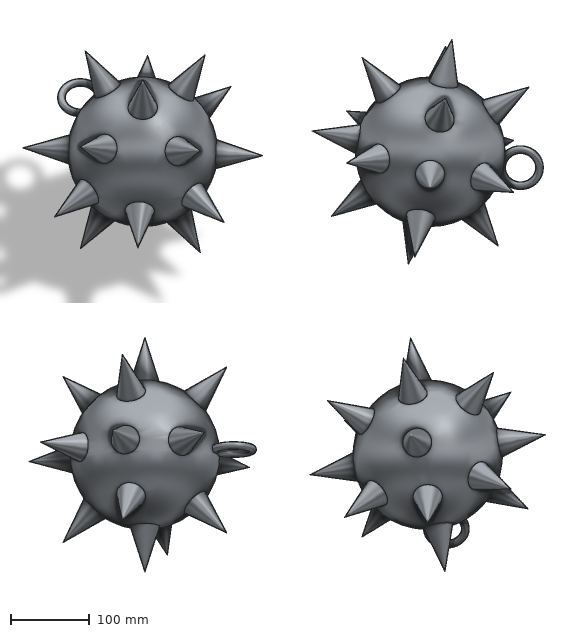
import cadquery as cq
import math

tip_radius = 152.5
ball_radius = 95.0
spike_base_radius = 18.5
root_depth = 6.0

ring_reach = 145.7
ring_outer_radius = 29.0
ring_wire_radius = 5.0

base_distance = math.sqrt(ball_radius**2 - spike_base_radius**2)
root_distance = base_distance - root_depth
root_radius = spike_base_radius * (tip_radius - root_distance) / (tip_radius - base_distance)


def make_spike(direction):
    """Pointed cone along a direction from the ball centre."""
    axis = cq.Vector(*direction).normalized()
    return cq.Solid.makeCone(root_radius, 0, tip_radius - root_distance, axis * root_distance, axis)


def make_ring():
    """Round-wire ring lying in the XY plane, with its near edge sunk into the ball."""
    center = cq.Vector(ring_outer_radius - ring_reach, 0, 0)
    return cq.Solid.makeTorus(ring_outer_radius - ring_wire_radius, ring_wire_radius, center, cq.Vector(0, 0, 1))


steps = (-1, 0, 1)
spike_directions = [
    (x, y, z)
    for x in steps
    for y in steps
    for z in steps
    if abs(x) + abs(y) + abs(z) in (1, 2) and (x, y, z) != (-1, 0, 0)
]

result = cq.Workplane("XY").sphere(ball_radius)
for spike_direction in spike_directions:
    result = result.union(cq.Workplane(make_spike(spike_direction)))
result = result.union(cq.Workplane(make_ring()))